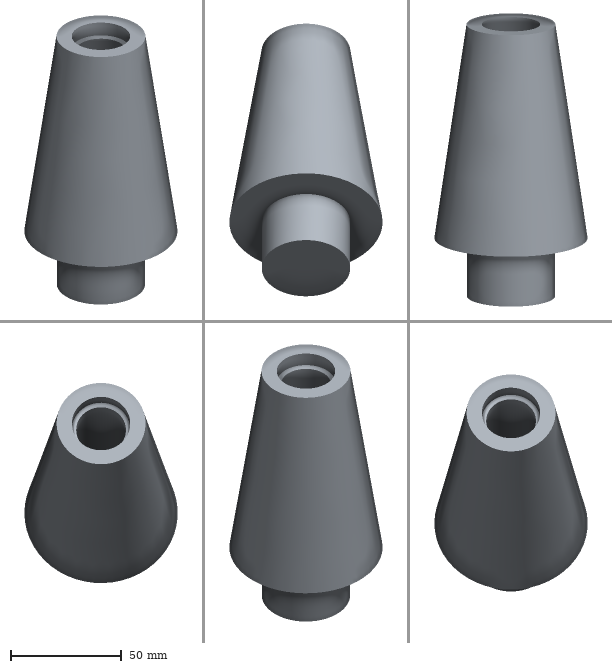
import cadquery as cq
import math

total_height = 126.6
spigot_height = 27.0

spigot_diameter = 40.0
body_top_diameter = 40.2
body_base_diameter = 69.3

bore_mouth_diameter = 26.4
bore_mouth_depth = 6.5
bore_diameter = 22.5
bore_depth = 60.0
drill_point_angle = 140.0


def make_outside():
    """Tapered body standing on a cylindrical spigot."""
    profile = [
        (0, 0),
        (spigot_diameter / 2, 0),
        (spigot_diameter / 2, spigot_height),
        (body_base_diameter / 2, spigot_height),
        (body_top_diameter / 2, total_height),
        (0, total_height),
    ]
    return cq.Workplane("XZ").polyline(profile).close().revolve(360, (0, 0), (0, 1))


def make_bore():
    """Stepped bore with a conical seat and a drill-point floor."""
    drill_slope = 1 / math.tan(math.radians(drill_point_angle / 2))
    mouth_radius = bore_mouth_diameter / 2
    bore_radius = bore_diameter / 2
    seat_top = total_height - bore_mouth_depth
    seat_bottom = seat_top - (mouth_radius - bore_radius) * drill_slope
    floor = total_height - bore_depth
    tip = floor - bore_radius * drill_slope
    profile = [
        (0, total_height),
        (mouth_radius, total_height),
        (mouth_radius, seat_top),
        (bore_radius, seat_bottom),
        (bore_radius, floor),
        (0, tip),
    ]
    return cq.Workplane("XZ").polyline(profile).close().revolve(360, (0, 0), (0, 1))


result = make_outside().cut(make_bore())